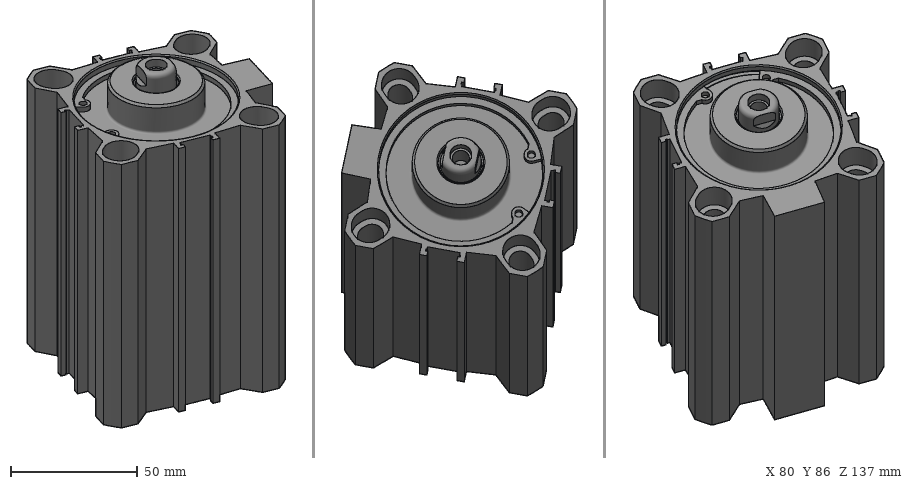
import cadquery as cq
import math

TOTAL_HEIGHT = 137.0
HOUSING_HEIGHT = 121.9
BOSS_TOP = 129.7
COVER_FACE = 116.9
COVER_THICKNESS = 16.5
POCKET_FLOOR = COVER_FACE - COVER_THICKNESS

CORNER_HALF = 40.0
CORNER_FLAT_END = 34.7
LEG_TIP = 27.4
LEG_ROOT = 20.7
FACE_AT_LEG = 33.5
FACE_AT_RIB = 34.4

RIB_TIP = 38.9
RIB_OUTER = 9.0
RIB_STEM_INNER = 6.6
HOOK_INNER = 6.0
HOOK_THICKNESS = 2.0
HOOK_RELIEF_DEPTH = 0.4
HOOK_RELIEF_WIDTH = 0.7
CHANNEL_FLOOR = 35.1

BLOCK_FACE = 46.0
BLOCK_HALF_AT_FACE = 10.5
BLOCK_HALF_AT_ROOT = 11.0

MOUNT_OFFSET = 30.4
MOUNT_HOLE_DIAMETER = 9.0
MOUNT_BORE_DIAMETER = 14.0
MOUNT_SLOT_SHIFT = 1.5
MOUNT_BORE_DEPTH = 10.5

POCKET_DIAMETER = 65.1
POCKET_CHAMFER = 0.5
GROOVE_DIAMETER = 68.2

COVER_DIAMETER = 64.7
BOSS_DIAMETER = 38.5
BOSS_CHAMFER = 1.0
BOSS_BASE_FILLET = 1.0
COVER_BORE_DIAMETER = 16.6
COVER_MOUTH_DIAMETER = 18.0
COVER_MOUTH_DEPTH = 1.4
COVER_MOUTH_CHAMFER = 0.5

RING_THICKNESS = 2.2
RING_INNER_RADIUS = 29.6
LUG_X = 12.9
LUG_Y = -25.9
LUG_RADIUS = 2.9
LUG_HOLE_DIAMETER = 3.2
LUG_SHOULDER_RISE = 1.9

ROD_DIAMETER = 16.0
ROD_TOP_FILLET = 1.9
FLAT_WIDTH = 13.2
FLAT_BOTTOM = 131.7
FLAT_CUT_CLEARANCE = 1.4
ROD_HOLE_DIAMETER = 6.7
ROD_HOLE_MOUTH_DIAMETER = 8.6
ROD_HOLE_MOUTH_DEPTH = 3.5
ROD_HOLE_DEPTH = 13.7
DRILL_POINT_ANGLE = 160.0


def cylinder(diameter, bottom, top):
    return cq.Workplane("XY").workplane(offset=bottom).circle(diameter / 2).extrude(top - bottom)


def mirror_x(point):
    return (-point[0], point[1])


def housing_quarter():
    """Body core with the +Y flank and the two corners beside it.

    The outer end of each corner leg is an arc about the housing axis.
    """
    leg_end = (CORNER_FLAT_END, CORNER_HALF)
    leg_start = (CORNER_HALF, CORNER_FLAT_END)
    corner_reach = math.hypot(*leg_end) / math.sqrt(2)
    leg_middle = (corner_reach, corner_reach)
    flank = [
        (LEG_TIP, CORNER_HALF),
        (LEG_ROOT, FACE_AT_LEG),
        (RIB_OUTER, FACE_AT_RIB),
        (-RIB_OUTER, FACE_AT_RIB),
        (-LEG_ROOT, FACE_AT_LEG),
        (-LEG_TIP, CORNER_HALF),
    ]

    return (
        cq.Workplane("XY")
        .lineTo(FACE_AT_LEG, LEG_ROOT)
        .lineTo(CORNER_HALF, LEG_TIP)
        .lineTo(*leg_start)
        .threePointArc(leg_middle, leg_end)
        .polyline(flank, includeCurrent=True)
        .lineTo(*mirror_x(leg_end))
        .threePointArc(mirror_x(leg_middle), mirror_x(leg_start))
        .lineTo(-CORNER_HALF, LEG_TIP)
        .lineTo(-FACE_AT_LEG, LEG_ROOT)
        .close()
        .extrude(HOUSING_HEIGHT)
    )


def sensor_channel():
    """Pair of hooked ribs, relieved behind each hook, with the channel floor between them on the +Y side."""
    hook_root = RIB_TIP - HOOK_THICKNESS
    relief_x = RIB_STEM_INNER + HOOK_RELIEF_DEPTH
    relief_start = hook_root - HOOK_RELIEF_WIDTH
    half_side = [
        (RIB_OUTER, FACE_AT_LEG),
        (RIB_OUTER, RIB_TIP),
        (HOOK_INNER, RIB_TIP),
        (HOOK_INNER, hook_root),
        (relief_x, hook_root),
        (relief_x, relief_start),
        (RIB_STEM_INNER, relief_start),
        (RIB_STEM_INNER, CHANNEL_FLOOR),
    ]
    mirrored = [mirror_x(point) for point in reversed(half_side)]
    return cq.Workplane("XY").polyline(half_side + mirrored).close().extrude(HOUSING_HEIGHT)


def port_block():
    outline = [
        (-BLOCK_HALF_AT_ROOT, FACE_AT_LEG),
        (BLOCK_HALF_AT_ROOT, FACE_AT_LEG),
        (BLOCK_HALF_AT_FACE, BLOCK_FACE),
        (-BLOCK_HALF_AT_FACE, BLOCK_FACE),
    ]
    return cq.Workplane("XY").polyline(outline).close().extrude(HOUSING_HEIGHT)


def mounting_hole():
    """Through slot with a counterbore, stretched along the diagonal of the +X +Y corner."""
    hole = (
        cq.Workplane("XY")
        .slot2D(MOUNT_HOLE_DIAMETER + MOUNT_SLOT_SHIFT, MOUNT_HOLE_DIAMETER)
        .extrude(HOUSING_HEIGHT)
    )
    bore = (
        cq.Workplane("XY")
        .workplane(offset=HOUSING_HEIGHT - MOUNT_BORE_DEPTH)
        .slot2D(MOUNT_BORE_DIAMETER + MOUNT_SLOT_SHIFT, MOUNT_BORE_DIAMETER)
        .extrude(MOUNT_BORE_DEPTH)
    )
    radial_place = (MOUNT_OFFSET * math.sqrt(2), 0, 0)
    return hole.union(bore).translate(radial_place).rotate((0, 0, 0), (0, 0, 1), 45)


def cover_pocket():
    """Blind pocket for the rod cover, with a chamfered mouth and the retaining ring groove."""
    radius = POCKET_DIAMETER / 2
    groove_radius = GROOVE_DIAMETER / 2
    groove_top = COVER_FACE + RING_THICKNESS
    profile = [
        (0, POCKET_FLOOR),
        (radius, POCKET_FLOOR),
        (radius, COVER_FACE),
        (groove_radius, COVER_FACE),
        (groove_radius, groove_top),
        (radius, groove_top),
        (radius, HOUSING_HEIGHT - POCKET_CHAMFER),
        (radius + POCKET_CHAMFER, HOUSING_HEIGHT),
        (0, HOUSING_HEIGHT),
    ]
    return cq.Workplane("XZ").polyline(profile).close().revolve(360, (0, 0), (0, 1))


def make_housing():
    body = port_block()
    for angle in (0, 90, 180, 270):
        body = body.union(housing_quarter().rotate((0, 0, 0), (0, 0, 1), angle))
    for angle in (90, 180, 270):
        body = body.union(sensor_channel().rotate((0, 0, 0), (0, 0, 1), angle))
    for angle in (0, 90, 180, 270):
        body = body.cut(mounting_hole().rotate((0, 0, 0), (0, 0, 1), angle))
    return body.cut(cover_pocket())


def make_rod_cover():
    """Flanged cover with a raised boss and a bore that widens into a chamfered mouth."""
    bore_radius = COVER_BORE_DIAMETER / 2
    mouth_radius = COVER_MOUTH_DIAMETER / 2
    mouth_bottom = BOSS_TOP - COVER_MOUTH_DEPTH
    boss_radius = BOSS_DIAMETER / 2
    fillet_center = (boss_radius + BOSS_BASE_FILLET, COVER_FACE + BOSS_BASE_FILLET)
    fillet_reach = BOSS_BASE_FILLET / math.sqrt(2)
    fillet_middle = (fillet_center[0] - fillet_reach, fillet_center[1] - fillet_reach)
    return (
        cq.Workplane("XZ")
        .moveTo(bore_radius, POCKET_FLOOR)
        .lineTo(COVER_DIAMETER / 2, POCKET_FLOOR)
        .lineTo(COVER_DIAMETER / 2, COVER_FACE)
        .lineTo(fillet_center[0], COVER_FACE)
        .threePointArc(fillet_middle, (boss_radius, fillet_center[1]))
        .lineTo(boss_radius, BOSS_TOP - BOSS_CHAMFER)
        .lineTo(boss_radius - BOSS_CHAMFER, BOSS_TOP)
        .lineTo(mouth_radius + COVER_MOUTH_CHAMFER, BOSS_TOP)
        .lineTo(mouth_radius, BOSS_TOP - COVER_MOUTH_CHAMFER)
        .lineTo(mouth_radius, mouth_bottom)
        .lineTo(bore_radius, mouth_bottom)
        .close()
        .revolve(360, (0, 0), (0, 1))
    )


def make_retaining_ring():
    """Open ring whose ends carry lugs with plier holes, resting on the rod cover."""
    outer_radius = GROOVE_DIAMETER / 2
    lug_distance = math.hypot(LUG_X, LUG_Y)
    radial = (LUG_X / lug_distance, LUG_Y / lug_distance)
    tangent = (LUG_X + LUG_RADIUS * radial[1], LUG_Y - LUG_RADIUS * radial[0])
    end_length = math.sqrt(outer_radius**2 - LUG_RADIUS**2) - lug_distance
    end = (tangent[0] + end_length * radial[0], tangent[1] + end_length * radial[1])
    shoulder_y = LUG_Y + LUG_SHOULDER_RISE
    lug_side = (LUG_X + math.sqrt(LUG_RADIUS**2 - LUG_SHOULDER_RISE**2), shoulder_y)
    lug_top = (LUG_X, LUG_Y + LUG_RADIUS)
    arm = (math.sqrt(RING_INNER_RADIUS**2 - shoulder_y**2), shoulder_y)

    ring = (
        cq.Workplane("XY")
        .workplane(offset=COVER_FACE)
        .moveTo(*end)
        .threePointArc((0, outer_radius), mirror_x(end))
        .lineTo(*mirror_x(tangent))
        .threePointArc(mirror_x(lug_top), mirror_x(lug_side))
        .lineTo(*mirror_x(arm))
        .threePointArc((0, RING_INNER_RADIUS), arm)
        .lineTo(*lug_side)
        .threePointArc(lug_top, tangent)
        .close()
        .extrude(RING_THICKNESS)
    )
    for side in (-1, 1):
        hole = cylinder(LUG_HOLE_DIAMETER, COVER_FACE, COVER_FACE + RING_THICKNESS)
        ring = ring.cut(hole.translate((side * LUG_X, LUG_Y, 0)))
    return ring


def wrench_flat():
    """Cut for the flat on the +Y side of the rod, with a 45 degree run-out at its foot."""
    flat = FLAT_WIDTH / 2
    outside = ROD_DIAMETER / 2 + FLAT_CUT_CLEARANCE
    profile = [
        (flat, TOTAL_HEIGHT),
        (flat, FLAT_BOTTOM),
        (outside, FLAT_BOTTOM - (outside - flat)),
        (outside, TOTAL_HEIGHT),
    ]
    return cq.Workplane("YZ").polyline(profile).close().extrude(ROD_DIAMETER / 2, both=True)


def rod_end_hole():
    """Blind hole in the rod end with a counterbored mouth and a drill point."""
    radius = ROD_HOLE_DIAMETER / 2
    mouth_radius = ROD_HOLE_MOUTH_DIAMETER / 2
    mouth_bottom = TOTAL_HEIGHT - ROD_HOLE_MOUTH_DEPTH
    hole_bottom = TOTAL_HEIGHT - ROD_HOLE_DEPTH
    point_depth = radius / math.tan(math.radians(DRILL_POINT_ANGLE / 2))
    profile = [
        (0, TOTAL_HEIGHT),
        (mouth_radius, TOTAL_HEIGHT),
        (mouth_radius, mouth_bottom),
        (radius, mouth_bottom),
        (radius, hole_bottom),
        (0, hole_bottom - point_depth),
    ]
    return cq.Workplane("XZ").polyline(profile).close().revolve(360, (0, 0), (0, 1))


def make_piston_rod():
    """Rod with a rounded end, two opposite wrench flats and a hole in its top."""
    rod = cylinder(ROD_DIAMETER, POCKET_FLOOR, TOTAL_HEIGHT)
    rod = rod.faces(">Z").edges().fillet(ROD_TOP_FILLET)
    for angle in (0, 180):
        rod = rod.cut(wrench_flat().rotate((0, 0, 0), (0, 0, 1), angle))
    return rod.cut(rod_end_hole())


housing = make_housing()
rod_cover = make_rod_cover()
retaining_ring = make_retaining_ring()
piston_rod = make_piston_rod()

result = cq.Compound.makeCompound(
    [housing.val(), rod_cover.val(), retaining_ring.val(), piston_rod.val()]
)